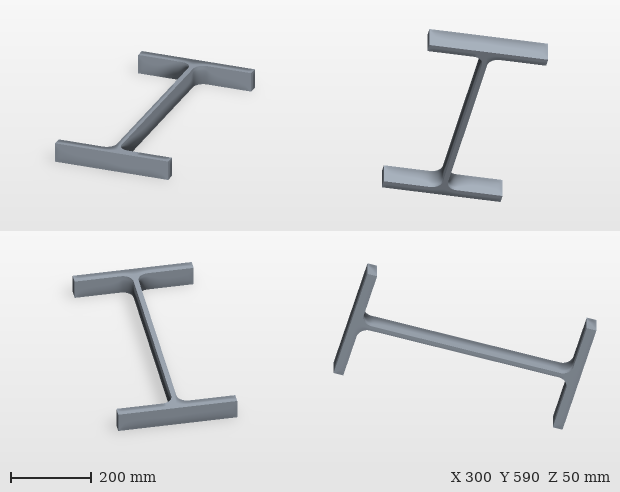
import cadquery as cq

flange_width = 300.0
section_depth = 590.0
flange_thickness = 25.0
web_thickness = 13.0
root_radius = 27.0
slice_length = 50.0
selection_margin = 1.0

web_height = section_depth - 2 * flange_thickness
flange_offset = (section_depth - flange_thickness) / 2


def make_flange(center_y):
    """One flange plate, centred across the web."""
    return (
        cq.Workplane("XY")
        .center(0, center_y)
        .rect(flange_width, flange_thickness)
        .extrude(slice_length)
    )


def make_web():
    """The web plate between the inner faces of the flanges."""
    return cq.Workplane("XY").rect(web_thickness, web_height).extrude(slice_length)


def round_roots(beam):
    """Fillet the four inner corners where the web meets the flanges."""
    root_edges = cq.selectors.BoxSelector(
        (-web_thickness, -web_height / 2 - selection_margin, -selection_margin),
        (web_thickness, web_height / 2 + selection_margin, slice_length + selection_margin),
    )
    return beam.edges("|Z").edges(root_edges).fillet(root_radius)


beam = make_web()
for side in (-1, 1):
    beam = beam.union(make_flange(side * flange_offset))

result = round_roots(beam)